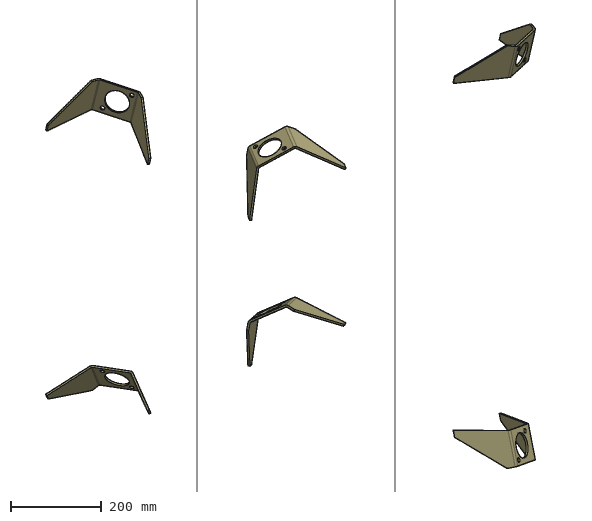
import cadquery as cq
import math

SHEET = 5.0
PLATE_WIDTH = 91.0
PLATE_HEIGHT = 82.0
BEND_ANGLE = 53.8
BEND_RADIUS = 3.0

WING_LENGTH = 122.0
WING_SHOULDER = 19.0
WING_DROP = 25.0
TIP_HEIGHT = 16.0

BORE_DIAMETER = 57.0
SCREW_DIAMETER = 10.0
SCREW_OFFSET = 28.0
BORE_SHIFT = 5.0

ROLL_ANGLE = 7.6
TILT_ANGLE = -15.5
YAW_ANGLE = 1.5
PLATE_CENTRE = (6.0, 49.0, 456.0)

HALF_WIDTH = PLATE_WIDTH / 2
HALF_HEIGHT = PLATE_HEIGHT / 2
BEND = math.radians(BEND_ANGLE)


def make_plate():
    """Centre plate with both sharp bend corners; its inner face lies on y = 0."""
    corner_x = HALF_WIDTH + SHEET * math.tan(BEND / 2)
    wing_start_x = HALF_WIDTH + SHEET * math.sin(BEND)
    wing_start_y = SHEET * math.cos(BEND)
    outline = [
        (-HALF_WIDTH, 0),
        (HALF_WIDTH, 0),
        (wing_start_x, wing_start_y),
        (corner_x, SHEET),
        (-corner_x, SHEET),
        (-wing_start_x, wing_start_y),
    ]
    plate = cq.Workplane("XY").polyline(outline).close().extrude(PLATE_HEIGHT)
    return plate.translate((0, 0, -HALF_HEIGHT))


def make_right_wing():
    """Tapered wing that leans out from the right fold line."""
    wing_plane = cq.Plane(
        origin=(HALF_WIDTH, 0, 0),
        xDir=(math.cos(BEND), -math.sin(BEND), 0),
        normal=(-math.sin(BEND), -math.cos(BEND), 0),
    )
    tip_bottom = -HALF_HEIGHT - WING_DROP
    outline = [
        (0, -HALF_HEIGHT),
        (WING_LENGTH, tip_bottom),
        (WING_LENGTH, tip_bottom + TIP_HEIGHT),
        (WING_SHOULDER, HALF_HEIGHT),
        (0, HALF_HEIGHT),
    ]
    return cq.Workplane(wing_plane).polyline(outline).close().extrude(-SHEET)


def round_bends(bracket):
    """Round both bends inside and outside, with the sheet thickness kept."""
    corner_x = HALF_WIDTH + SHEET * math.tan(BEND / 2)
    for x, y, radius in ((HALF_WIDTH, 0, BEND_RADIUS), (corner_x, SHEET, BEND_RADIUS + SHEET)):
        for side in (-1, 1):
            fold = cq.selectors.NearestToPointSelector((side * x, y, 0))
            bracket = bracket.edges("|Z").edges(fold).fillet(radius)
    return bracket


def make_holes():
    """Cutters for the bore and the two screw holes on its rising diagonal."""
    face = cq.Workplane("XZ", origin=(BORE_SHIFT, SHEET, 0))
    bore = face.circle(BORE_DIAMETER / 2).extrude(SHEET)
    screw_points = [(side * SCREW_OFFSET, side * SCREW_OFFSET) for side in (-1, 1)]
    screws = face.pushPoints(screw_points).circle(SCREW_DIAMETER / 2).extrude(SHEET)
    return bore.union(screws)


def make_bracket():
    """Upright bracket, turned and moved to the upper position."""
    right_wing = make_right_wing()
    left_wing = right_wing.mirror("YZ")
    sheet = make_plate().union(right_wing).union(left_wing)
    bracket = round_bends(sheet).cut(make_holes())
    origin = (0, 0, 0)
    bracket = bracket.rotate(origin, (0, 1, 0), ROLL_ANGLE)
    bracket = bracket.rotate(origin, (1, 0, 0), TILT_ANGLE)
    bracket = bracket.rotate(origin, (0, 0, 1), YAW_ANGLE)
    return bracket.translate(PLATE_CENTRE)


upper_bracket = make_bracket()
brackets = []
for is_lower in (False, True):
    bracket = upper_bracket.mirror("XY") if is_lower else upper_bracket
    brackets.append(bracket.solids().val())

result = cq.Compound.makeCompound(brackets)